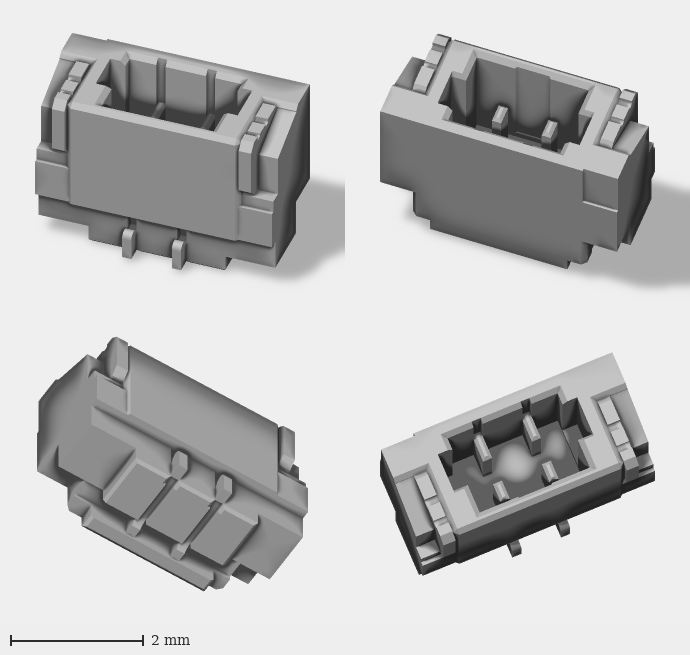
import cadquery as cq


length = 3.8
depth = 1.75
height = 2.7
half_length = length / 2

wing_bottom = 0.3
overhang_bottom = 0.8
block_half = 1.4
block_front = 0.05
edge_chamfer = 0.08

foot_front = 0.24
lower_ledge_front = 0.09
lower_ledge_top = 1.433
upper_ledge_front = 0.152
upper_ledge_top = 1.63
wing_front = 0.35
wing_front_top = height - 0.4
corner_wall = 1.16
slope_top = height - 0.1

foot_half = 1.1
foot_chamfer = 0.05
foot_back_chamfer = 0.075
channel_front = 1.155
channel_back = 1.482
channel_top = 0.375
notch_top = 0.895

step_length = 0.55
step_height = 0.8
step_depth = 0.04

cavity_floor = 0.9
groove_floor = 1.0
cavity_half = 0.9
cavity_front = 0.25
cavity_back = 1.5
key_half = 1.14
key_front = 0.715
key_back = 1.31
key_chamfer = 0.05
relief_half = 0.285
relief_depth = 0.025

contact_pitch = 0.798
contact_width = 0.15
contact_bottom = 0.05
contact_top = 0.4
tail_thickness = 0.2
underside = 0.13
bend_mid = (1.273, 0.087)
bend_end = 1.315
front_blade = (0.45, 0.752)
back_blade = (1.132, cavity_back + edge_chamfer)
blade_top = 1.9
blade_chamfer = 0.05
tail_slot_depth = 0.15
contact_places = [-contact_pitch / 2, contact_pitch / 2]

tab_thickness = 0.2
tab_bottom = height - 1.0
tab_chamfer = 0.125
tab_notches = [0.275, 0.625]
notch_width = 0.115
notch_depth = 0.075
notch_fillet = 0.036
bridge_drop = 0.025


def box(x_range, y_range, z_range):
    """Box between two limits along each axis."""
    (x0, x1), (y0, y1), (z0, z1) = x_range, y_range, z_range
    return cq.Workplane("XY").box(x1 - x0, y1 - y0, z1 - z0, centered=False).translate((x0, y0, z0))


def side_prism(points, x0, x1):
    """Prism along X between x0 and x1 with a (Y, Z) outline."""
    return cq.Workplane("YZ", origin=(x0, 0, 0)).polyline(points).close().extrude(x1 - x0)


def both_ends(solid):
    """The solid together with its mirror image at the other end."""
    return solid.union(solid.mirror("YZ"))


def wings():
    outline = [
        (foot_front, wing_bottom),
        (foot_front, overhang_bottom),
        (lower_ledge_front, overhang_bottom),
        (lower_ledge_front, lower_ledge_top),
        (upper_ledge_front, lower_ledge_top),
        (upper_ledge_front, upper_ledge_top),
        (wing_front, upper_ledge_top),
        (wing_front, wing_front_top),
        (corner_wall, slope_top),
        (corner_wall, height - edge_chamfer),
        (corner_wall + edge_chamfer, height),
        (depth, height),
        (depth, wing_bottom),
    ]
    return side_prism(outline, -half_length, half_length)


def middle_block():
    block = box((-block_half, block_half), (block_front, depth), (overhang_bottom, height))
    rim = block.faces(">Z").edges("<Y or <X or >X")
    return rim.add(block.faces("<Y").edges("|Z")).chamfer(edge_chamfer)


def foot():
    base = box((-foot_half, foot_half), (foot_front, depth), (0, wing_bottom))
    base = base.faces("<Z").edges(">Y").chamfer(foot_back_chamfer)
    return base.faces("<Z").edges("<Y or <X or >X").chamfer(foot_chamfer)


def foot_channel():
    return box((-half_length, half_length), (channel_front, channel_back), (0, channel_top))


def wing_notches():
    notch = box((block_half, half_length), (channel_front, depth), (wing_bottom, notch_top))
    corner = (
        cq.Workplane("XY", origin=(0, 0, wing_bottom))
        .moveTo(block_half, depth)
        .lineTo(block_half - foot_back_chamfer, depth)
        .lineTo(block_half, depth - foot_back_chamfer)
        .close()
        .extrude(notch_top - wing_bottom)
    )
    return both_ends(notch.union(corner))


def back_step():
    return box(
        (-half_length, -half_length + step_length),
        (depth - step_depth, depth),
        (height - step_height, height),
    )


def cavity():
    middle = (cavity_front + cavity_back) / 2
    width = cavity_back - cavity_front
    opening = box((-cavity_half, cavity_half), (cavity_front, cavity_back), (cavity_floor, height))
    keys = box((-key_half, key_half), (key_front, key_back), (groove_floor, height))
    rim = (
        cq.Workplane("XY", origin=(0, middle, height - edge_chamfer))
        .rect(2 * cavity_half, width)
        .workplane(offset=edge_chamfer)
        .rect(2 * (cavity_half + edge_chamfer), width + 2 * edge_chamfer)
        .loft(ruled=True)
    )
    key_rim = side_prism(
        [(key_front, height - edge_chamfer), (key_front, height), (key_front - key_chamfer, height)],
        -key_half,
        key_half,
    )
    relief = (
        cq.Workplane("XY", origin=(0, 0, groove_floor))
        .moveTo(-relief_half, cavity_front)
        .lineTo(-relief_half + relief_depth, cavity_front - relief_depth)
        .lineTo(relief_half - relief_depth, cavity_front - relief_depth)
        .lineTo(relief_half, cavity_front)
        .close()
        .extrude(height - groove_floor)
    )
    return opening.union(keys).union(rim).union(key_rim).union(relief)


def contact_slots(x):
    """Openings in the housing around the contact centred at x."""
    sides = (x - contact_width / 2, x + contact_width / 2)
    blade_slot = box(sides, (cavity_back, back_blade[1]), (cavity_floor, height))
    tail_slot = box(sides, (foot_front, foot_front + tail_slot_depth), (contact_top, overhang_bottom))
    foot_slot = box(sides, (foot_front, channel_front), (0, contact_top))
    mouth = (
        cq.Workplane("XZ", origin=(x, foot_front, 0))
        .moveTo(-contact_width / 2 - foot_chamfer, 0)
        .lineTo(-contact_width / 2, foot_chamfer)
        .lineTo(contact_width / 2, foot_chamfer)
        .lineTo(contact_width / 2 + foot_chamfer, 0)
        .close()
        .extrude(-tail_slot_depth)
    )
    return blade_slot.union(tail_slot).union(foot_slot).union(mouth)


def make_housing(contacts):
    body = wings().union(middle_block()).union(foot())
    body = body.cut(foot_channel()).cut(wing_notches()).cut(back_step()).cut(cavity())
    for x, contact in zip(contact_places, contacts):
        body = body.cut(contact_slots(x)).cut(contact)
    return body


def blade(y_range):
    half = contact_width / 2
    return box((-half, half), y_range, (channel_top, blade_top)).faces(">Z").chamfer(blade_chamfer)


def make_contact(x):
    strip = (
        cq.Workplane("YZ", origin=(-contact_width / 2, 0, 0))
        .moveTo(0, contact_bottom)
        .lineTo(0, contact_top)
        .threePointArc((tail_thickness / 2, contact_top + tail_thickness / 2), (tail_thickness, contact_top))
        .lineTo(channel_back, contact_top)
        .lineTo(channel_back, contact_bottom)
        .lineTo(bend_end, contact_bottom)
        .threePointArc(bend_mid, (channel_front, underside))
        .lineTo(foot_front, underside)
        .lineTo(foot_front, contact_bottom)
        .close()
        .extrude(contact_width)
    )
    return strip.union(blade(front_blade)).union(blade(back_blade)).translate((x, 0, 0))


def make_tab():
    """Tab at the +X end, standing on the wing beside the middle block."""
    x0, x1 = block_half, block_half + tab_thickness
    outline = [
        (tab_chamfer, height),
        (0, height - tab_chamfer),
        (0, tab_bottom + tab_chamfer),
        (tab_chamfer, tab_bottom),
        (wing_front, tab_bottom),
        (wing_front, wing_front_top),
        (corner_wall, slope_top),
        (corner_wall, height - edge_chamfer),
        (corner_wall - edge_chamfer, height),
    ]
    tab = side_prism(outline, x0, x1)
    for front in tab_notches:
        notch = box((x0, x1), (front, front + notch_width), (height - notch_depth, height))
        tab = tab.cut(notch.faces("<Z").edges("|X").fillet(notch_fillet))
    return tab.cut(box((x0, x1), tab_notches, (height - bridge_drop, height)))


contacts = [make_contact(x) for x in contact_places]
housing = make_housing(contacts)
right_tab = make_tab()
tabs = [right_tab, right_tab.mirror("YZ")]

bodies = [housing, *contacts, *tabs]

result = cq.Compound.makeCompound([body.solids().val() for body in bodies])